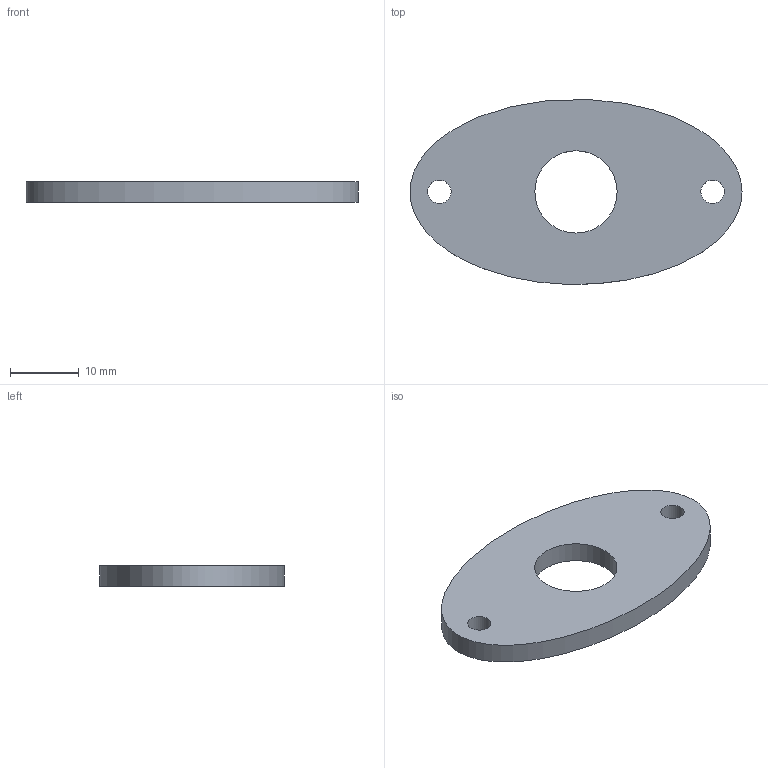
import cadquery as cq

plate_length = 48.39
plate_width = 27.0
plate_thickness = 3.0

center_hole_diameter = 12.0
screw_hole_diameter = 3.4
screw_hole_spacing = 39.8


def make_plate():
    """Flat elliptical plate with its long axis along X and its base at Z = 0."""
    return (
        cq.Workplane("XY")
        .ellipse(plate_length / 2, plate_width / 2)
        .extrude(plate_thickness)
    )


def cut_center_hole(plate):
    """Large through hole in the middle of the plate."""
    return plate.faces(">Z").workplane(origin=(0, 0, 0)).hole(center_hole_diameter)


def cut_screw_holes(plate):
    """Two through holes on the long axis, one near each end."""
    half_spacing = screw_hole_spacing / 2
    return (
        plate.faces(">Z")
        .workplane(origin=(0, 0, 0))
        .pushPoints([(-half_spacing, 0), (half_spacing, 0)])
        .hole(screw_hole_diameter)
    )


result = cut_screw_holes(cut_center_hole(make_plate()))